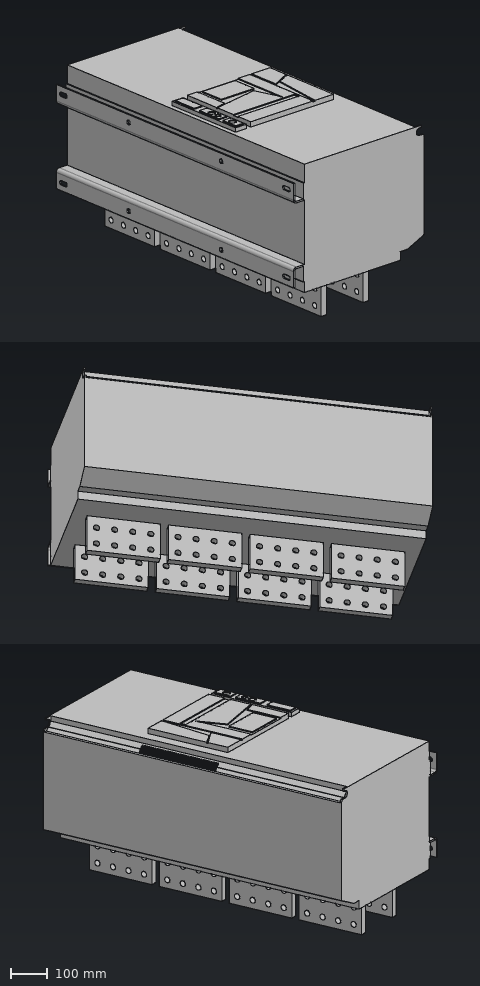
import cadquery as cq


width = 966.0
depth = 436.0
height = 375.0
end_plate = 5.0
step_y = 350.0
step_height = 25.0
slope_start_y = 375.0
slope_end_z = 52.0

bite_radius = 11.0
bite_y = 418.0
bite_floor_z = 347.0
bite_z = bite_floor_z + bite_radius
rear_round = 7.0
horn_tip_y = 425.0

shoulder_z = 337.0
shoulder_rear_y = 426.0
shoulder_mid_y = 417.0
shoulder_wall_y = 405.0
shoulder_riser = 1.0
shoulder_mid_z = shoulder_z + shoulder_rear_y - shoulder_mid_y
shoulder_wall_z = shoulder_mid_z + shoulder_riser + shoulder_mid_y - shoulder_wall_y

notch_pitch = 7.0
notch_count = 37
notch_width = 3.0
notch_reach = 8.0
notch_margin = 1.0

rail_reach = 40.0
rail_height = 59.0
rail_sheet = 5.0
rail_bend = 11.0
rail_pad = 4.0
rail_pad_height = 51.0
upper_rail_z = 269.5
lower_rail_z = 82.0
rail_hole_rise = 36.0
rail_hole_x = 188.0
rail_hole_diameter = 14.0
rail_slot_x = 454.0
rail_slot_length = 30.0
rail_slot_width = 13.0

bar_width = 203.0
bar_thickness = 20.0
bar_length = 110.0
bar_pitch = 226.0
bar_columns = 4
bar_rear_faces = (119.0, 271.0)
bar_hole_pitch = 50.0
bar_hole_columns = 4
bar_hole_rows = 2
bar_hole_diameter = 16.0
bar_hole_margin = bar_hole_pitch / 2

panel_left = -72.0
panel_right = 185.0
panel_front = 71.0
panel_rear = 371.0
panel_base = 13.0
relief = 3.0
relief_z = height + panel_base
header_front = 304.0
header_split_rear_x = -8.0
header_split_front_x = 26.0
header_split_gap = 4.0
header_notch = (17.0, 326.0)
cover_rear = 298.0
cover_step_y = 255.0
groove_left = 115.0
groove_right = 133.0
groove_rear = 292.0
wing_rear_x = 108.0
wing_corner = (22.0, 227.0)
wing_front_x = 49.0
foot_rear = 107.0
foot_rear_x = 38.0
foot_front_x = 46.0
window_left = -66.0
window_right = 11.0
display_front = 120.0
display_rear = 239.0

strip_front = 15.0
strip_rear = 55.0
strip_margin = 6.0
strip_windows = ((window_left, window_right), (32.0, 112.0), (127.5, 180.0))
button_recesses = ((67.0, 11.0), (92.0, 9.0), (151.0, 11.0))


def block(x0, x1, y0, y1, z0, z1):
    """Box between two corners."""
    return cq.Workplane("XY").box(x1 - x0, y1 - y0, z1 - z0, centered=False).translate((x0, y0, z0))


def side_outline(x0):
    """Sketch plane for Y-Z outlines that run along +X from x0."""
    return cq.Workplane("YZ", origin=(x0, 0, 0))


def centred(count, pitch):
    """Positions of a row of items spaced evenly about zero."""
    return [(i - (count - 1) / 2) * pitch for i in range(count)]


def lower_outline(x0):
    """Housing outline from the top front corner round to the foot of the rear face, left open."""
    return (
        side_outline(x0)
        .moveTo(0, height)
        .lineTo(0, 0)
        .lineTo(step_y, 0)
        .lineTo(step_y, step_height)
        .lineTo(slope_start_y, step_height)
        .lineTo(depth, slope_end_z)
    )


def make_end_plate(x0):
    horn_z = bite_z + bite_radius
    return (
        lower_outline(x0)
        .lineTo(depth, bite_floor_z - rear_round)
        .radiusArc((depth - rear_round, bite_floor_z), -rear_round)
        .lineTo(bite_y, bite_floor_z)
        .threePointArc((bite_y - bite_radius, bite_z), (bite_y, horn_z))
        .lineTo(horn_tip_y, horn_z)
        .lineTo(horn_tip_y, height)
        .close()
        .extrude(end_plate)
    )


def make_core():
    return (
        lower_outline(-width / 2 + end_plate)
        .lineTo(depth, shoulder_z)
        .lineTo(shoulder_rear_y, shoulder_z)
        .lineTo(shoulder_mid_y, shoulder_mid_z)
        .lineTo(shoulder_mid_y, shoulder_mid_z + shoulder_riser)
        .lineTo(shoulder_wall_y, shoulder_wall_z)
        .lineTo(shoulder_wall_y, height)
        .close()
        .extrude(width - 2 * end_plate)
    )


def cut_shoulder_notches(core):
    centre_x = (panel_left + panel_right) / 2
    bands = (
        (shoulder_rear_y, shoulder_z),
        (shoulder_mid_y, shoulder_mid_z + shoulder_riser),
    )
    for band_rear_y, band_z in bands:
        rear_y = band_rear_y - notch_margin
        floor_z = band_z + notch_margin
        for offset in centred(notch_count, notch_pitch):
            x0 = centre_x + offset - notch_width / 2
            notch = block(
                x0, x0 + notch_width,
                rear_y - notch_reach, rear_y,
                floor_z, floor_z + notch_reach,
            )
            core = core.cut(notch)
    return core


def make_housing():
    housing = cut_shoulder_notches(make_core())
    for x0 in (-width / 2, width / 2 - end_plate):
        housing = housing.union(make_end_plate(x0))
    return housing


def make_rail(web_z, direction):
    """Channel rail: web at web_z, both flanges running up (direction 1) or down (-1)."""
    inner_bend = rail_bend - rail_sheet
    leg_y = rail_sheet - rail_reach
    rail = (
        side_outline(-width / 2)
        .moveTo(0, 0)
        .lineTo(rail_bend - rail_reach, 0)
        .radiusArc((-rail_reach, rail_bend), rail_bend)
        .lineTo(-rail_reach, rail_height)
        .lineTo(leg_y, rail_height)
        .lineTo(leg_y, rail_bend)
        .radiusArc((leg_y + inner_bend, rail_sheet), -inner_bend)
        .lineTo(-rail_pad, rail_sheet)
        .lineTo(-rail_pad, rail_pad_height)
        .lineTo(0, rail_pad_height)
        .close()
        .extrude(width)
    )
    holes = (
        cq.Workplane("XZ", origin=(0, leg_y, rail_hole_rise))
        .pushPoints([(-rail_hole_x, 0), (rail_hole_x, 0)])
        .circle(rail_hole_diameter / 2)
        .extrude(rail_sheet)
    )
    slots = (
        cq.Workplane("XZ", origin=(0, leg_y, rail_hole_rise))
        .pushPoints([(-rail_slot_x, 0), (rail_slot_x, 0)])
        .slot2D(rail_slot_length, rail_slot_width)
        .extrude(rail_sheet)
    )
    rail = rail.cut(holes).cut(slots)
    if direction < 0:
        rail = rail.mirror("XY")
    return rail.translate((0, 0, web_z))


def make_bar(centre_x, rear_y):
    bar = block(
        centre_x - bar_width / 2, centre_x + bar_width / 2,
        rear_y - bar_thickness, rear_y,
        -bar_length, 0,
    )
    hole_points = [
        (centre_x + x, bar_hole_margin - bar_length + row * bar_hole_pitch)
        for x in centred(bar_hole_columns, bar_hole_pitch)
        for row in range(bar_hole_rows)
    ]
    holes = (
        cq.Workplane("XZ", origin=(0, rear_y, 0))
        .pushPoints(hole_points)
        .circle(bar_hole_diameter / 2)
        .extrude(bar_thickness)
    )
    return bar.cut(holes)


def raised(points):
    """Flat piece standing proud of the panel base."""
    return cq.Workplane("XY", origin=(0, 0, relief_z)).polyline(points).close().extrude(relief)


def make_control_panel():
    panel = block(panel_left, panel_right, panel_front, panel_rear, height, relief_z)
    header_left = raised([
        (panel_left, panel_rear),
        (header_split_rear_x, panel_rear),
        (header_split_front_x, header_front),
        (panel_left, header_front),
    ])
    header_right = raised([
        (header_split_rear_x + header_split_gap, panel_rear),
        (panel_right, panel_rear),
        (panel_right, header_front),
        header_notch,
    ])
    cover = raised([
        (panel_left, cover_rear),
        (panel_right, cover_rear),
        (panel_right, panel_front),
        (groove_right, panel_front),
        (groove_right, groove_rear),
        (groove_left, groove_rear),
        (groove_left, cover_step_y),
        (panel_left, cover_step_y),
    ])
    wing = raised([
        (groove_left, panel_front),
        (groove_left, cover_step_y),
        (wing_rear_x, cover_step_y),
        wing_corner,
        (wing_front_x, panel_front),
    ])
    foot = raised([
        (panel_left, panel_front),
        (panel_left, foot_rear),
        (foot_rear_x, foot_rear),
        (foot_front_x, panel_front),
    ])
    display = block(window_left, window_right, display_front, display_rear, relief_z, relief_z + relief)
    for piece in (header_left, header_right, cover, wing, foot, display):
        panel = panel.union(piece)
    return panel


def make_button_strip():
    strip = block(panel_left, panel_right, strip_front, strip_rear, height, relief_z)
    for x0, x1 in strip_windows:
        window = block(
            x0, x1,
            strip_front + strip_margin, strip_rear - strip_margin,
            relief_z, relief_z + relief,
        )
        strip = strip.union(window)
    centre_y = (strip_front + strip_rear) / 2
    for x, radius in button_recesses:
        recess = (
            cq.Workplane("XY", origin=(x, centre_y, relief_z))
            .circle(radius)
            .extrude(relief)
        )
        strip = strip.cut(recess)
    return strip


result = make_housing()
result = result.union(make_rail(upper_rail_z, 1))
result = result.union(make_rail(lower_rail_z, -1))
for bar_x in centred(bar_columns, bar_pitch):
    for bar_rear_y in bar_rear_faces:
        result = result.union(make_bar(bar_x, bar_rear_y))
result = result.union(make_control_panel())
result = result.union(make_button_strip())